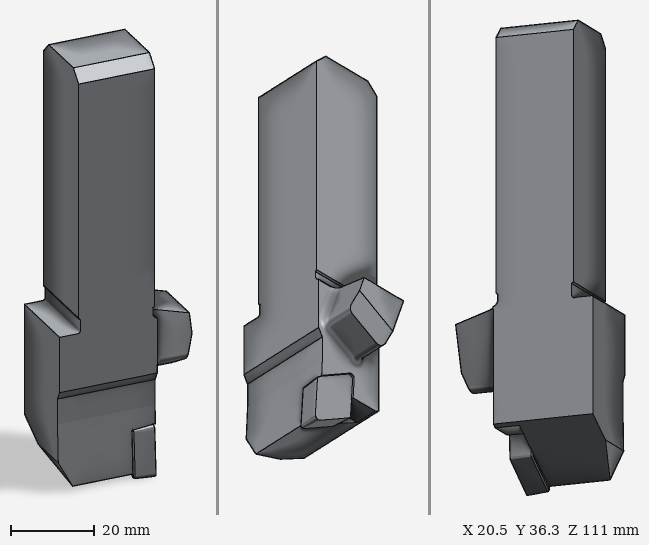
import cadquery as cq
import math


shank_size = 20.0
total_height = 111.0
shank_front = 5.0
shank_back = shank_front + shank_size
end_chamfer = 3.0
head_top = 42.0
head_back = 25.6

underside_start = 12.9
underside_angle = 30.0
front_bevel_height = 8.3
front_bevel_depth = 3.7
front_bevel_bottom = 1.5

relief_top = 27.3
relief_step_bottom = 25.1
relief_bend = 18.3
relief_wall = 18.8
relief_foot = 19.5

front_undercut_depth = 0.4
front_undercut_top = 45.8
front_undercut_run_out = 0.3
front_undercut_radius = 0.7

back_undercut_depth = 0.4
back_undercut_top = 45.1
back_undercut_run_out = 0.3
back_undercut_radius = 3.5 / 2

block_back = 36.3
block_top = 39.0
block_angle = 18.0
block_bottom_slope = 30.0
top_slope = 15.0
block_left = 2.1
block_right = 15.2
block_length = 17.3
block_radius = 3.5 / 2
tip_cut_depth = 2.0
tip_cut_length = 5.5

insert_back = 25.1
insert_thickness = 5.7
insert_overhang = 0.5
corner_radius = 1.0
corner_spacing = 11.3
nose_angle = 55.0
insert_lean = 3.5
land_width = 0.7
flank_taper = 4.5
insert_chamfer = 0.3
insert_front = insert_back - insert_thickness

clearance_top = 12.2

lean_cosine = math.cos(math.radians(block_angle))
top_angle = math.radians(top_slope)
underside_slope = math.tan(math.radians(underside_angle))
margin = 5.5


def make_side_profile():
    """Side outline of shank, head and block, extruded across the full width."""
    front_wall = shank_front + front_undercut_depth
    back_wall = shank_back - back_undercut_depth
    touch_y = back_wall + back_undercut_radius * (1 - math.sin(top_angle))
    touch_z = block_top + (block_back - touch_y) * math.tan(top_angle)
    fillet_top = touch_z + back_undercut_radius * math.cos(top_angle)
    profile = (
        cq.Workplane("YZ")
        .moveTo(0, 0)
        .lineTo(block_back, 0)
        .lineTo(block_back, block_top)
        .lineTo(touch_y, touch_z)
        .radiusArc((back_wall, fillet_top), back_undercut_radius)
        .lineTo(back_wall, back_undercut_top - back_undercut_run_out)
        .lineTo(shank_back, back_undercut_top)
        .lineTo(shank_back, total_height)
        .lineTo(shank_front, total_height)
        .lineTo(shank_front, front_undercut_top)
        .lineTo(front_wall, front_undercut_top - front_undercut_run_out)
        .lineTo(front_wall, head_top + front_undercut_radius)
        .radiusArc((front_wall - front_undercut_radius, head_top), front_undercut_radius)
        .lineTo(0, head_top)
        .close()
        .extrude(shank_size)
    )
    return profile.faces(">Z").edges("|Y").chamfer(end_chamfer)


def make_head_outline():
    """Full-height block with the sloping underside and the relieved right side."""
    foot_height = underside_start - relief_foot * underside_slope
    return (
        cq.Workplane("XZ")
        .polyline([
            (0, underside_start),
            (relief_foot, foot_height),
            (relief_wall, relief_bend),
            (relief_wall, relief_step_bottom),
            (shank_size, relief_top),
            (shank_size, total_height),
            (0, total_height),
        ])
        .close()
        .extrude(-head_back)
    )


def make_front_bevel():
    """Wedge that bevels the front lower edge of the head."""
    rise_per_depth = (front_bevel_height - front_bevel_bottom) / front_bevel_depth
    low_depth = front_bevel_height / rise_per_depth
    return (
        cq.Workplane("YZ")
        .polyline([(0, front_bevel_height), (low_depth, 0), (0, 0)])
        .close()
        .extrude(shank_size)
    )


def make_block():
    """Locating block, built upright with its upper left corner at the origin, then leaned over."""
    width = (block_right - block_left) * lean_cosine
    height = block_length + 2 * margin
    plate_reach = 4 * shank_size
    bottom_tilt = block_bottom_slope - block_angle
    bottom_rise = width * math.tan(math.radians(bottom_tilt))
    post = (
        cq.Workplane("XZ")
        .polyline([
            (0, 2 * margin),
            (0, -block_length),
            (width, -block_length + bottom_rise),
            (width, 2 * margin),
        ])
        .close()
        .extrude(-block_back)
    )
    bottom_corners = cq.selectors.BoxSelector(
        (-margin, 0, -height),
        (width + margin, block_back, 0),
    )
    post = post.edges("|Y").edges(bottom_corners).fillet(block_radius)
    tip_cut = (
        cq.Workplane("YZ")
        .polyline([
            (block_back, -block_length),
            (block_back - tip_cut_depth, -block_length),
            (block_back, -block_length + tip_cut_length),
        ])
        .close()
        .extrude(2 * width)
        .rotate((0, 0, -block_length), (0, 1, -block_length), -bottom_tilt)
    )
    plate = (
        cq.Workplane("XY")
        .box(plate_reach, head_back, plate_reach, centered=(True, False, True))
    )
    root = cq.selectors.BoxSelector(
        (-margin, head_back - margin, -height),
        (width + margin, head_back + margin, height),
    )
    block = post.cut(tip_cut).union(plate).edges(root).fillet(block_radius)
    return block.rotate((0, 0, 0), (0, 1, 0), -block_angle).translate((block_left, 0, block_top))


def make_space_behind_head():
    """Everything behind the back face of the head."""
    return (
        cq.Workplane("XY")
        .box(shank_size, block_back - head_back, total_height, centered=False)
        .translate((0, head_back, 0))
    )


def insert_outline(back):
    """Rounded rhombus at depth `back`, with its nose touching the lowest and rightmost limits."""
    nose_x = shank_size + insert_overhang - corner_radius
    nose_z = corner_radius
    side_angle = math.radians(90 + insert_lean)
    base_angle = side_angle + math.radians(nose_angle)
    side = (corner_spacing * math.cos(side_angle), corner_spacing * math.sin(side_angle))
    base = (corner_spacing * math.cos(base_angle), corner_spacing * math.sin(base_angle))
    return (
        cq.Workplane("XZ", origin=(0, back, 0))
        .polyline([
            (nose_x, nose_z),
            (nose_x + side[0], nose_z + side[1]),
            (nose_x + side[0] + base[0], nose_z + side[1] + base[1]),
            (nose_x + base[0], nose_z + base[1]),
        ])
        .close()
        .offset2D(corner_radius)
    )


def make_insert():
    """Insert with a straight land at its back, tapered flanks and a chamfered front edge."""
    land = insert_outline(insert_back).extrude(land_width)
    body = insert_outline(insert_back - land_width).extrude(
        insert_thickness - land_width, taper=flank_taper
    )
    return land.union(body).faces("<Y").chamfer(insert_chamfer)


def make_pocket_opening():
    """Room behind the insert, and clearance on its left open to the underside and the back."""
    opening = insert_outline(head_back + margin).extrude(head_back + margin - insert_back)
    clearance_left = (underside_start - clearance_top) / underside_slope
    clearance = (
        cq.Workplane("XZ", origin=(0, insert_front, 0))
        .polyline([
            (clearance_left, clearance_top),
            (relief_foot, clearance_top),
            (relief_foot, 0),
            (clearance_left, 0),
        ])
        .close()
        .extrude(-(head_back + margin - insert_front))
    )
    return opening.union(clearance)


insert = make_insert()

side_profile = make_side_profile()
head_and_shank = side_profile.intersect(make_head_outline()).cut(make_front_bevel())
block = side_profile.intersect(make_block()).intersect(make_space_behind_head())
holder = head_and_shank.union(block)
holder = holder.cut(make_pocket_opening()).cut(insert)

result = cq.Compound.makeCompound([holder.val(), insert.val()])